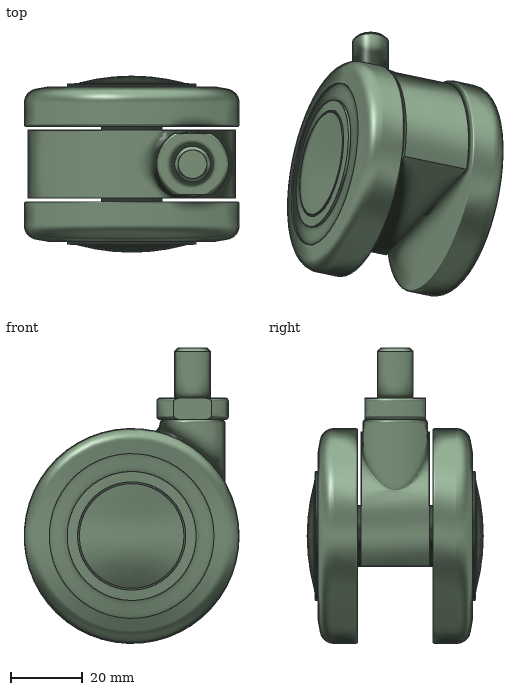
import cadquery as cq
import math


housing_radius = 29.0
housing_width = 19.0
housing_bottom = -8.5
neck_radius = 9.0
neck_x = 17.0
neck_top = 32.5
neck_edge_radius = 1.0
neck_blend_radius = 3.0
neck_blend_end_radius = 0.6

collar_radius = 10.0
collar_height = 6.0
collar_across_flats = 17.0
collar_edge_radius = 1.0
stud_radius = 5.0
stud_length = 14.0
stud_chamfer = 1.0

wheel_radius = 30.0
wheel_inner_face = 10.5
inner_edge_radius = 0.6
tread_end = 17.0
shoulder_radius = 4.0
sidewall_angle = math.radians(10)
web_radius = 23.0
web_recess = 0.5
hub_radius = 8.5
cover_radius = 18.0
cover_edge_face = 22.3
cover_inner_face = 22.5
groove_outer_radius = 15.1
groove_floor = 22.0
dome_radius = 14.6
dome_base = 22.65
dome_tip = 24.57


def blend_neck(body):
    neck_box = cq.selectors.BoxSelector(
        (neck_x - neck_radius - 1, -neck_radius - 1, 0),
        (neck_x + neck_radius + 1, neck_radius + 1, neck_top - 2 * neck_edge_radius),
    )
    near_edges = cq.Workplane(body).edges(neck_box).vals()
    root_edges = [edge for edge in near_edges if edge.geomType() != "LINE"]
    blend = cq.occ_impl.shapes.BRepFilletAPI_MakeFillet(body.wrapped)
    blend.Add(root_edges[0].wrapped)
    chain = 1
    for edge in root_edges:
        for vertex in edge.Vertices():
            over_axle = vertex.X < neck_x - neck_radius / 2
            radius = neck_blend_radius if over_axle else neck_blend_end_radius
            blend.SetRadius(radius, chain, vertex.wrapped)
    return cq.Shape.cast(blend.Shape())


def make_housing():
    disc = (
        cq.Workplane("XZ", origin=(0, housing_width, 0))
        .circle(housing_radius)
        .extrude(2 * housing_width)
    )
    neck = (
        cq.Workplane("XY")
        .moveTo(neck_x - neck_radius, 0)
        .radiusArc((neck_x, neck_radius), neck_radius)
        .radiusArc((neck_x + neck_radius, 0), neck_radius)
        .radiusArc((neck_x, -neck_radius), neck_radius)
        .radiusArc((neck_x - neck_radius, 0), neck_radius)
        .close()
        .extrude(neck_top)
        .faces(">Z")
        .edges()
        .fillet(neck_edge_radius)
    )
    body = blend_neck(disc.union(neck, clean=False).solids().val())
    envelope = (
        cq.Workplane("XY", origin=(0, 0, housing_bottom))
        .rect(3 * housing_radius, housing_width)
        .extrude(neck_top - housing_bottom)
    )
    return cq.Workplane(body).intersect(envelope).solids()


def make_stem():
    collar = (
        cq.Workplane("XY", origin=(neck_x, 0, neck_top))
        .circle(collar_radius)
        .extrude(collar_height)
        .edges()
        .fillet(collar_edge_radius)
    )
    flats = (
        cq.Workplane("XY", origin=(neck_x, 0, neck_top))
        .rect(2 * collar_radius, collar_across_flats)
        .extrude(collar_height)
    )
    stud = (
        cq.Workplane("XY", origin=(neck_x, 0, neck_top + collar_height))
        .circle(stud_radius)
        .extrude(stud_length)
        .faces(">Z")
        .chamfer(stud_chamfer)
    )
    return collar.intersect(flats).union(stud).solids()


def make_wheel(side):
    shoulder_centre_radius = wheel_radius - shoulder_radius

    def shoulder_point(angle):
        return (
            shoulder_centre_radius + shoulder_radius * math.sin(angle),
            tread_end + shoulder_radius * math.cos(angle),
        )

    shoulder_mid = shoulder_point((math.pi / 2 + sidewall_angle) / 2)
    shoulder_end = shoulder_point(sidewall_angle)
    side_face = shoulder_end[1] + (shoulder_end[0] - web_radius) * math.tan(sidewall_angle)
    dome_height = dome_tip - dome_base
    sphere_radius = (dome_radius**2 + dome_height**2) / (2 * dome_height)
    dome_mid_radius = dome_radius / 2
    dome_mid = dome_tip - sphere_radius + math.sqrt(sphere_radius**2 - dome_mid_radius**2)
    wheel = (
        cq.Workplane("XY")
        .moveTo(0, housing_width / 2)
        .lineTo(hub_radius, housing_width / 2)
        .lineTo(hub_radius, wheel_inner_face)
        .lineTo(wheel_radius - inner_edge_radius, wheel_inner_face)
        .tangentArcPoint((wheel_radius, wheel_inner_face + inner_edge_radius), relative=False)
        .lineTo(wheel_radius, tread_end)
        .threePointArc(shoulder_mid, shoulder_end)
        .lineTo(web_radius, side_face)
        .lineTo(web_radius, side_face - web_recess)
        .lineTo(cover_radius, side_face)
        .lineTo(cover_radius, cover_edge_face)
        .lineTo(groove_outer_radius, cover_inner_face)
        .lineTo(groove_outer_radius, groove_floor)
        .lineTo(dome_radius, groove_floor)
        .lineTo(dome_radius, dome_base)
        .threePointArc((dome_mid_radius, dome_mid), (0, dome_tip))
        .close()
        .revolve(360, (0, 0, 0), (0, 1, 0))
    )
    if side < 0:
        wheel = wheel.mirror("XZ")
    return wheel


housing = make_housing()
stem = make_stem()
wheels = [make_wheel(side) for side in (-1, 1)]

result = cq.Compound.makeCompound(
    [housing.val(), stem.val(), *[wheel.val() for wheel in wheels]]
)